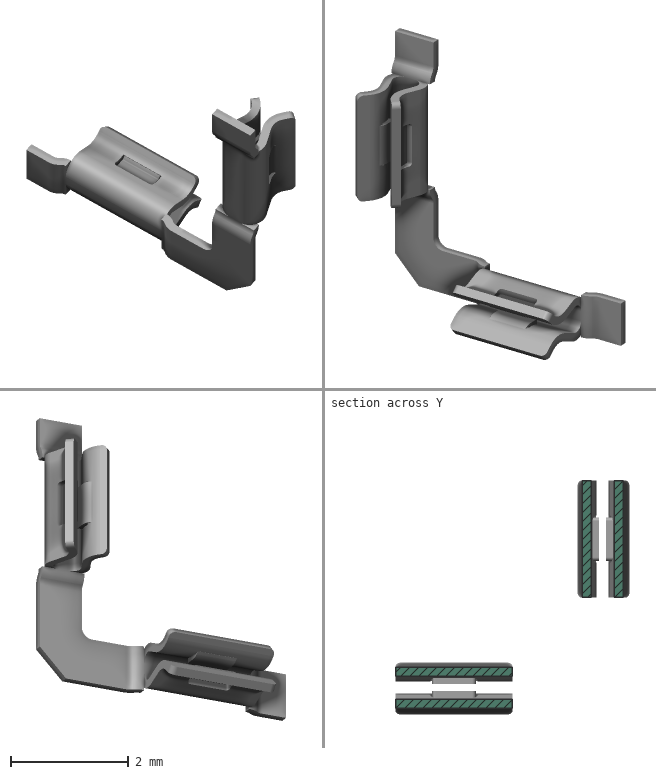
import math

import cadquery as cq


sheet = 0.15
bend_radius = 0.15
mid_bend = bend_radius + sheet / 2

strip_width = 0.8
arm_length = 4.69
corner_chamfer = 0.5
corner_radius = 0.2

pad_length = 0.465
joggle_angle = 37
joggle_straight = 0.02
joggle_moves = [
    ("bend", mid_bend, joggle_angle),
    ("straight", joggle_straight),
    ("bend", mid_bend, -joggle_angle),
]
joggle_sin = math.sin(math.radians(joggle_angle))
joggle_cos = math.cos(math.radians(joggle_angle))
joggle_run = 2 * mid_bend * joggle_sin + joggle_straight * joggle_cos
joggle_rise = 2 * mid_bend * (1 - joggle_cos) + joggle_straight * joggle_sin

clip_length = 2.0
clip_floor_half = 0.1
long_leg_shape = {"lean": 21, "straight": 0.31, "waist": 0.28 + sheet / 2, "flare": 40, "lip": 0.226}
short_leg_shape = {"lean": 23, "straight": 0.25, "waist": 0.305 + sheet / 2, "flare": 45, "lip": 0.12}
lip_corner_radius = 0.1
clip_start = -arm_length + pad_length + joggle_run
clip_end = clip_start + clip_length
clip_middle = (clip_start + clip_end) / 2

window_length = 0.8
window_bottom = 0.667
window_top = 0.957
tab_length = 0.745
tab_bottom = 0.625
tab_gap_half = 0.06
tab_straight = 0.255
tab_bend_radius = 0.05 + sheet / 2
tab_bend_angle = 38
tab_tail = 0.06
tab_corner_radius = 0.06


def bent_sheet(plane, start, heading, moves):
    """Closed profile of a bent sheet, following its mid-line from `start`.

    Headings and bend angles are in degrees; positive bends turn left.
    """
    half = sheet / 2
    x, y = start
    left_ends = []
    right_ends = []

    def sides(px, py, angle):
        nx = -half * math.sin(math.radians(angle))
        ny = half * math.cos(math.radians(angle))
        return (px + nx, py + ny), (px - nx, py - ny)

    def on_bend(radius, angle):
        """Mid-line point of the current bend after turning by `angle`."""
        turn = math.copysign(1, angle)
        before = math.radians(heading)
        after = math.radians(heading + angle)
        px = x + turn * radius * (math.sin(after) - math.sin(before))
        py = y - turn * radius * (math.cos(after) - math.cos(before))
        return px, py

    first_left, first_right = sides(x, y, heading)
    for kind, size, *turn in moves:
        left_mid = right_mid = None
        if kind == "straight":
            x += size * math.cos(math.radians(heading))
            y += size * math.sin(math.radians(heading))
        else:
            angle = turn[0]
            left_mid, right_mid = sides(*on_bend(size, angle / 2), heading + angle / 2)
            x, y = on_bend(size, angle)
            heading += angle
        left, right = sides(x, y, heading)
        left_ends.append((left_mid, left))
        right_ends.append((right_mid, right))

    def trace(profile, middle, end):
        if middle is None:
            return profile.lineTo(*end)
        return profile.threePointArc(middle, end)

    profile = cq.Workplane(plane).moveTo(*first_left)
    for middle, end in left_ends:
        profile = trace(profile, middle, end)
    profile = profile.lineTo(*right_ends[-1][1])
    return_ends = [first_right] + [end for _, end in right_ends[:-1]]
    for (middle, _), end in zip(reversed(right_ends), reversed(return_ends)):
        profile = trace(profile, middle, end)
    return profile.close()


def clip_plane(x):
    """Cross-section plane of the clip: local x is along +Z from the arm's centre, local y is +Y."""
    return cq.Plane(origin=(x, 0, strip_width / 2), xDir=(0, 0, 1), normal=(-1, 0, 0))


def make_leg(shape):
    """One leg on the +Z side, from the middle of the clip floor to its lip."""
    moves = [
        ("straight", clip_floor_half),
        ("bend", mid_bend, 90 + shape["lean"]),
        ("straight", shape["straight"]),
        ("bend", shape["waist"], -(shape["lean"] + shape["flare"])),
        ("straight", shape["lip"]),
    ]
    floor_middle = (0, joggle_rise + sheet / 2)
    leg = bent_sheet(clip_plane(clip_end), floor_middle, 0, moves).extrude(clip_length)

    lip_direction = math.radians(90 - shape["flare"])
    through_sheet = cq.Vector(0, math.cos(lip_direction), -math.sin(lip_direction))
    leg = leg.edges(cq.selectors.ParallelDirSelector(through_sheet)).edges(">Y").fillet(lip_corner_radius)

    return leg.cut(make_window()).union(make_tab())


def make_window():
    """Cutter for the window behind the tab; its lower corners are rounded."""
    height = window_top - window_bottom
    window = cq.Workplane("XY").box(window_length, height, strip_width, centered=(True, False, False))
    window = window.edges("|Z and <Y").fillet(tab_corner_radius)
    return window.translate((clip_middle, window_bottom, strip_width / 2))


def make_tab():
    """Contact tab: a flat face beside the mid-plane that bends back into the leg."""
    moves = [
        ("straight", tab_straight),
        ("bend", tab_bend_radius, -tab_bend_angle),
        ("straight", tab_tail),
    ]
    start = (tab_gap_half + sheet / 2, tab_bottom)
    plane = clip_plane(clip_middle + tab_length / 2)
    tab = bent_sheet(plane, start, 90, moves).extrude(tab_length)
    return tab.edges("|Z and <Y").fillet(tab_corner_radius)


def make_clip():
    short_leg = make_leg(short_leg_shape)
    long_leg = make_leg(long_leg_shape).mirror("XY", (0, 0, strip_width / 2))
    return short_leg.union(long_leg).clean()


def make_arm():
    """The arm along X: end pad, joggle up, spring clip and joggle down to the corner plate."""
    pad_moves = [("straight", pad_length)] + joggle_moves
    pad = bent_sheet("XY", (-arm_length, sheet / 2), 0, pad_moves).extrude(strip_width)
    raised = (clip_end, joggle_rise + sheet / 2)
    down_moves = [(kind, size, *[-angle for angle in turn]) for kind, size, *turn in joggle_moves]
    corner_joggle = bent_sheet("XY", raised, 0, down_moves).extrude(strip_width)
    return make_clip().union(pad).union(corner_joggle)


def make_corner():
    """Flat L-shaped plate joining the two arms."""
    reach = -(clip_end + joggle_run)
    inner = strip_width + corner_radius
    arc_inset = corner_radius * (1 - math.sqrt(0.5))
    arc_middle = strip_width + arc_inset
    return (
        cq.Workplane("XZ")
        .moveTo(-reach, 0)
        .lineTo(-corner_chamfer, 0)
        .lineTo(0, corner_chamfer)
        .lineTo(0, reach)
        .lineTo(-strip_width, reach)
        .lineTo(-strip_width, inner)
        .threePointArc((-arc_middle, arc_middle), (-inner, strip_width))
        .lineTo(-reach, strip_width)
        .close()
        .extrude(-sheet)
    )


arm = make_arm()
upright_arm = arm.mirror(cq.Vector(1, 0, 1))
result = make_corner().union(arm).union(upright_arm)